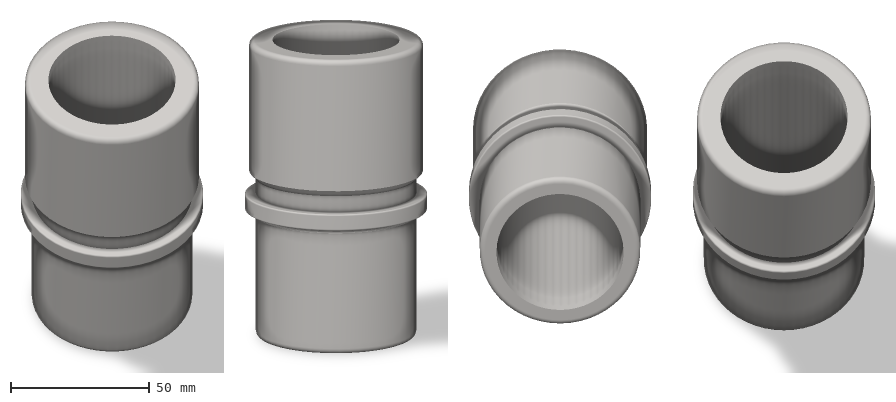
import cadquery as cq

total_height = 110.0
bore_radius = 23.0

lower_radius = 29.0
lower_top = 45.1
bottom_round = 2.0

relief_radius = 28.5
relief_bottom = 45.5

collar_radius = 33.0
collar_bottom = 47.0
collar_height = 6.0
collar_round = 0.5
collar_top = collar_bottom + collar_height

upper_radius = 31.5
cone_bottom = 59.0
cone_top = 61.4
top_round = 2.0

profile = (
    cq.Workplane("XZ")
    .moveTo(bore_radius, 0)
    .lineTo(lower_radius, 0)
    .lineTo(lower_radius, lower_top)
    .lineTo(relief_radius, relief_bottom)
    .lineTo(relief_radius, collar_bottom)
    .lineTo(collar_radius, collar_bottom)
    .lineTo(collar_radius, collar_top)
    .lineTo(lower_radius, collar_top)
    .lineTo(lower_radius, cone_bottom)
    .lineTo(upper_radius, cone_top)
    .lineTo(upper_radius, total_height)
    .lineTo(bore_radius, total_height)
    .close()
)
body = profile.revolve(360, (0, 0, 0), (0, 1, 0))

outer_rim = cq.selectors.RadiusNthSelector(-1)
body = body.faces(">Z").edges(outer_rim).fillet(top_round)
body = body.faces("<Z").edges(outer_rim).fillet(bottom_round)

result = body.edges(outer_rim).fillet(collar_round)